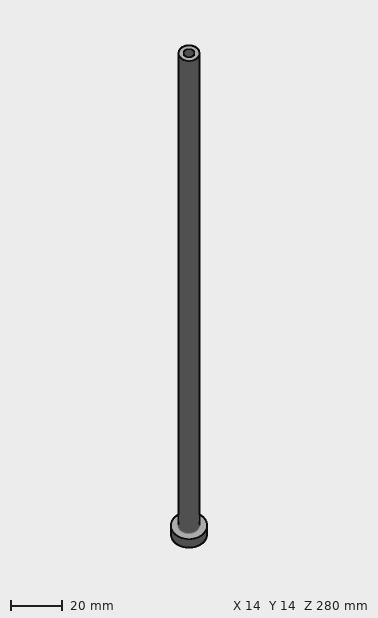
import cadquery as cq

total_length = 280.0
head_diameter = 14.0
head_thickness = 5.0
shaft_diameter = 8.0
bore_diameter = 4.2
neck_fillet = 0.5

head = cq.Workplane("XY").circle(head_diameter / 2).extrude(head_thickness)
shaft = cq.Workplane("XY").circle(shaft_diameter / 2).extrude(total_length)
body = head.union(shaft)

neck_edge = cq.selectors.RadiusNthSelector(0)
body = body.faces("<Z[1]").edges(neck_edge).fillet(neck_fillet)

bore = cq.Workplane("XY").circle(bore_diameter / 2).extrude(total_length)
result = body.cut(bore)